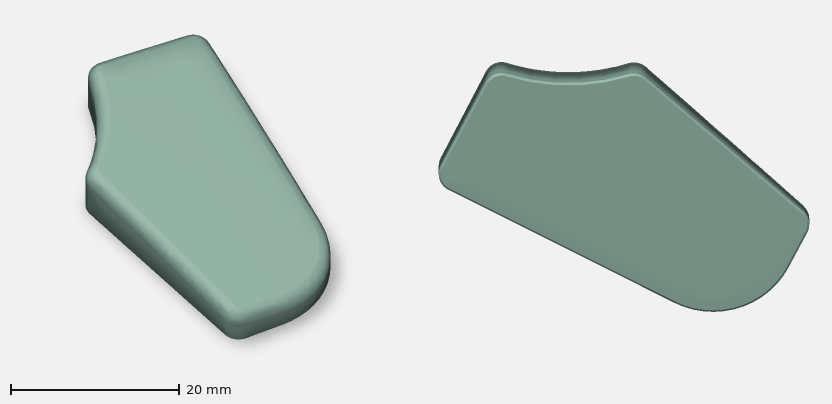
import cadquery as cq
import math

length = 42.4
back_y = 23.05
right_corner_y = 6.5
tip_x = 15.45
tip_y = -0.235
large_corner_radius = 10.1
corner_radius = 2.1

axis_x = -2.35
axis_y = -16.55

dome_radius = 402.8
wall_top_z = 6.8
rim_radius = 1.5
base_chamfer = 0.25
blank_height = 10.6

concave_radius = math.hypot(tip_x - axis_x, tip_y - axis_y)


def concave_point(x):
    """Point of the concave wall at the given x."""
    return (x, axis_y + math.sqrt(concave_radius**2 - (x - axis_x) ** 2))


def make_blank():
    """Tall prism with all the vertical corners rounded."""
    blank = (
        cq.Workplane("XY")
        .moveTo(*concave_point(0))
        .threePointArc(concave_point(tip_x / 2), (tip_x, tip_y))
        .lineTo(length, right_corner_y)
        .lineTo(length, back_y)
        .lineTo(0, back_y)
        .close()
        .extrude(blank_height)
    )
    large_corner = cq.selectors.NearestToPointSelector((length, back_y, blank_height / 2))
    blank = blank.edges(large_corner).fillet(large_corner_radius)
    sharp_corners = [concave_point(0), (tip_x, tip_y), (length, right_corner_y), (0, back_y)]
    for x, y in sharp_corners:
        corner = cq.selectors.NearestToPointSelector((x, y, blank_height / 2))
        blank = blank.edges("|Z").edges(corner).fillet(corner_radius)
    return blank


def make_dome():
    """Large ball whose surface meets the concave wall at wall_top_z."""
    center_z = wall_top_z - math.sqrt(dome_radius**2 - concave_radius**2)
    return cq.Workplane("XY").sphere(dome_radius).translate((axis_x, axis_y, center_z))


body = make_blank().intersect(make_dome())
body = body.faces("<Z").edges().chamfer(base_chamfer)
result = body.faces("%SPHERE").edges().fillet(rim_radius)